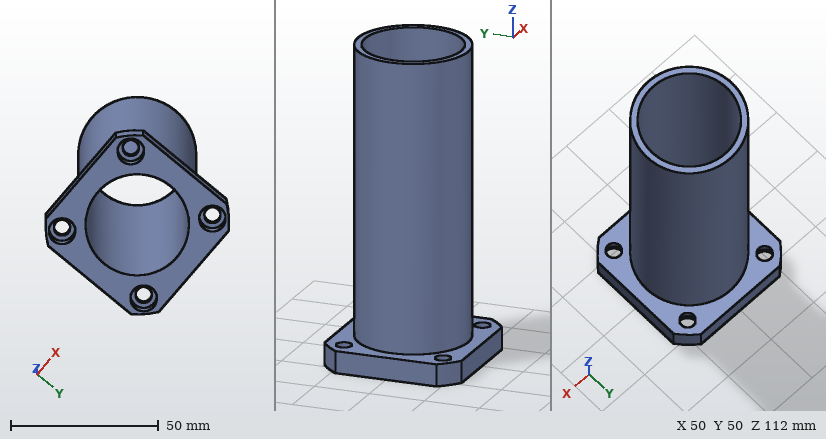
import cadquery as cq

total_height = 112.0
flange_width = 50.0
flange_thickness = 8.0
flange_corner_diameter = 62.0
tube_outer_diameter = 40.0
tube_bore_diameter = 35.0
bolt_hole_diameter = 5.5
bolt_spacing = 36.1
bolt_head_diameter = 9.0
bolt_seat_thickness = 2.6

counterbore_depth = flange_thickness - bolt_seat_thickness


def make_flange():
    """Square plate with its corners trimmed by a circle about the tube axis."""
    square = cq.Workplane("XY").box(
        flange_width, flange_width, flange_thickness, centered=(True, True, False)
    )
    corner_disc = cq.Workplane("XY").circle(flange_corner_diameter / 2).extrude(flange_thickness)
    return square.intersect(corner_disc)


def make_tube_body():
    """Solid cylinder standing on the base plane."""
    return cq.Workplane("XY").circle(tube_outer_diameter / 2).extrude(total_height)


def make_bore():
    """Bore running the full height of the part."""
    return cq.Workplane("XY").circle(tube_bore_diameter / 2).extrude(total_height)


def make_bolt_pattern(diameter, height):
    """Four cylinders rising from the base plane, one near each flange corner."""
    return (
        cq.Workplane("XY")
        .rect(bolt_spacing, bolt_spacing, forConstruction=True)
        .vertices()
        .circle(diameter / 2)
        .extrude(height)
    )


bolt_holes = make_bolt_pattern(bolt_hole_diameter, flange_thickness)
counterbores = make_bolt_pattern(bolt_head_diameter, counterbore_depth)

result = make_flange().union(make_tube_body()).cut(make_bore()).cut(bolt_holes).cut(counterbores)